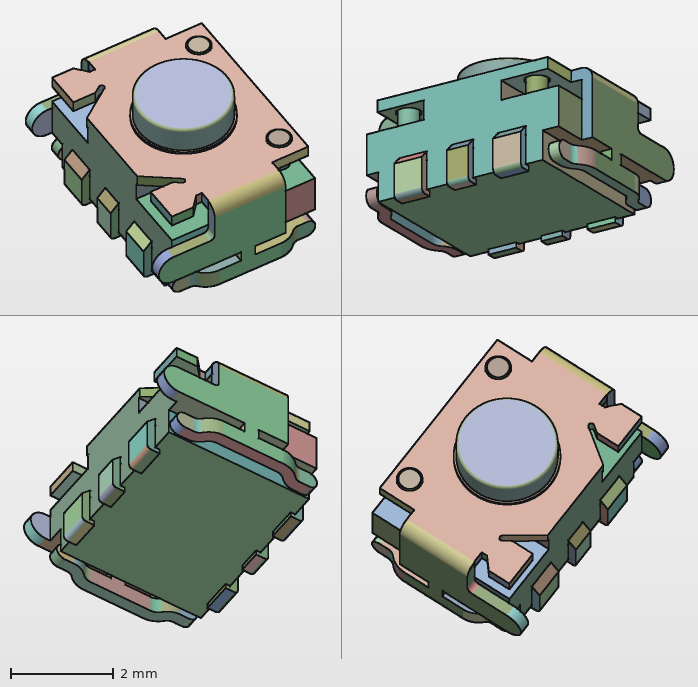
import cadquery as cq
import math

overall_width = 5.0
wall = 0.25
body_width = overall_width - 2 * wall
body_depth = 3.29
plate_top = 2.165
plate_underside = plate_top - wall
shoulder_height = 1.5
wide_bottom = 0.63
base_left = -1.875
base_right = 1.98
core_width = 1.815

wall_half_length = 0.815
arm_top = 1.315
arm_tip_y = -2.1
arm_root_fillet = 0.11

rail_height = 0.395
neck_front = -0.21
neck_back = 0.12
rail_flat_half_length = 0.705
rail_inset = 0.235
jog_outer_radius = 0.53
jog_return_radius = 0.2

front_notch_back_y = -0.805
front_notch_step_y = -0.935
front_notch_end_y = -1.155
slit_centre = (1.51, -0.955)
slit_width = 0.115
slit_angle = 54.2
slit_side_x = 1.45

post_x = 1.505
post_y = 1.275
post_diameter = 0.44
post_hole_diameter = 0.51
post_projection = 0.02

button_diameter = 2.0
button_top = 2.775
button_edge_radius = 0.05
flange_diameter = 2.1
flange_height = 0.05

terminal_tip_y = 1.83
terminal_thickness = terminal_tip_y - body_depth / 2
terminal_bottom = -0.115
terminal_foot_length = 0.29
terminal_corner_radius = 0.095
outer_terminal_width = 0.65
centre_terminal_width = 0.5
outer_terminal_x = 1.16

half_width = overall_width / 2
half_body = body_width / 2
half_depth = body_depth / 2
TERMINALS = [
    (-outer_terminal_x, outer_terminal_width),
    (0, centre_terminal_width),
    (outer_terminal_x, outer_terminal_width),
]


def box(x0, x1, y0, y1, z0, z1):
    return cq.Workplane("XY").box(x1 - x0, y1 - y0, z1 - z0, centered=False).translate((x0, y0, z0))


def with_mirror(shape):
    """The shape together with its copy on the other side of the YZ plane."""
    return shape.union(shape.mirror("YZ"))


def make_core():
    """Narrow base, wide middle and centre block of the housing."""
    base = box(base_left, base_right, -half_depth, half_depth, 0, wide_bottom)
    middle = box(-half_body, half_body, -half_depth, half_depth, wide_bottom, shoulder_height)
    block = box(-core_width / 2, core_width / 2, -half_depth, half_depth, shoulder_height, plate_top)
    return base.union(middle).union(block)


def make_plate():
    """Flat top plate with notched corners, before slits and post holes."""
    plate = box(-half_body, half_body, -half_depth, half_depth, plate_underside, plate_top)
    notch_x = -half_body + wall
    back_notch = box(-half_body, notch_x, wall_half_length, half_depth, plate_underside, plate_top)
    front_notch = (
        cq.Workplane("XY", origin=(0, 0, plate_underside))
        .moveTo(-half_body, front_notch_back_y)
        .lineTo(notch_x, front_notch_back_y)
        .lineTo(notch_x, front_notch_step_y)
        .lineTo(-half_body, front_notch_end_y)
        .close()
        .extrude(wall)
    )
    return plate.cut(with_mirror(back_notch)).cut(with_mirror(front_notch))


def make_slit():
    """Left wedge-shaped slit that frees the front corner of the top plate."""
    radius = slit_width / 2
    angle = math.radians(slit_angle)
    along = (math.cos(angle), -math.sin(angle))
    across = (radius * math.sin(angle), radius * math.cos(angle))
    centre_x, centre_y = -slit_centre[0], slit_centre[1]
    inner = (centre_x + across[0], centre_y + across[1])
    outer = (centre_x - across[0], centre_y - across[1])
    end = (centre_x - radius * along[0], centre_y - radius * along[1])
    inner_run = (inner[1] + half_depth) / math.sin(angle)
    outer_run = (-slit_side_x - outer[0]) / along[0]
    return (
        cq.Workplane("XY", origin=(0, 0, plate_underside))
        .moveTo(inner[0] + inner_run * along[0], -half_depth)
        .lineTo(*inner)
        .threePointArc(end, outer)
        .lineTo(-slit_side_x, outer[1] + outer_run * along[1])
        .lineTo(-slit_side_x, -half_depth)
        .close()
        .extrude(wall)
    )


def make_wall():
    """Left side wall: panel with a round-ended front arm, bend into the plate, and rail neck."""
    arm_radius = (arm_top - wide_bottom) / 2
    arm_centre_y = arm_tip_y + arm_radius
    panel = (
        cq.Workplane("YZ", origin=(-half_width, 0, 0))
        .moveTo(wall_half_length, wide_bottom)
        .lineTo(wall_half_length, plate_underside)
        .lineTo(-wall_half_length, plate_underside)
        .lineTo(-wall_half_length, arm_top + arm_root_fillet)
        .radiusArc((-wall_half_length - arm_root_fillet, arm_top), arm_root_fillet)
        .lineTo(arm_centre_y, arm_top)
        .threePointArc((arm_tip_y, arm_top - arm_radius), (arm_centre_y, wide_bottom))
        .close()
        .extrude(wall)
    )
    bend = (
        cq.Workplane("XZ", origin=(0, wall_half_length, 0))
        .moveTo(-half_width, plate_underside)
        .radiusArc((-half_body, plate_top), wall)
        .lineTo(-half_body, plate_underside)
        .close()
        .extrude(2 * wall_half_length)
    )
    neck = box(-half_width, -half_body, neck_front, neck_back, rail_height, wide_bottom)
    return panel.union(bend).union(neck)


def make_rail():
    """Left bottom rail: flat middle, both ends jogged inward by S-bends and rounded at the tips."""
    angle = math.acos(1 - rail_inset / (jog_outer_radius + jog_return_radius))
    bend_x = -half_width + jog_outer_radius * (1 - math.cos(angle))
    bend_y = rail_flat_half_length + jog_outer_radius * math.sin(angle)
    jog_end_y = bend_y + jog_return_radius * math.sin(angle)
    inner_radius = jog_outer_radius - wall
    inner_bend_x = -half_body + inner_radius * (1 - math.cos(angle))
    inner_bend_y = rail_flat_half_length + inner_radius * math.sin(angle)
    end_x = -half_width + rail_inset
    half = (
        cq.Workplane("XY")
        .moveTo(-half_width, 0)
        .lineTo(-half_width, rail_flat_half_length)
        .radiusArc((bend_x, bend_y), jog_outer_radius)
        .radiusArc((end_x, jog_end_y), -jog_return_radius)
        .lineTo(end_x, half_depth)
        .lineTo(end_x + wall, half_depth)
        .lineTo(end_x + wall, jog_end_y)
        .radiusArc((inner_bend_x, inner_bend_y), jog_return_radius + wall)
        .radiusArc((-half_body, rail_flat_half_length), -inner_radius)
        .lineTo(-half_body, 0)
        .close()
        .extrude(rail_height)
    )
    side_outline = (
        cq.Workplane("YZ", origin=(-half_width, 0, 0))
        .center(0, rail_height / 2)
        .slot2D(body_depth, rail_height)
        .extrude(wall + rail_inset)
    )
    return half.union(half.mirror("XZ")).intersect(side_outline)


def make_posts(diameter, bottom, top):
    return (
        cq.Workplane("XY", origin=(0, 0, bottom))
        .pushPoints([(-post_x, post_y), (post_x, post_y)])
        .circle(diameter / 2)
        .extrude(top - bottom)
    )


def make_terminal(width):
    """Formed strip across the housing, bent down both faces and ending in feet under the base."""
    half = (
        cq.Workplane("YZ", origin=(-width / 2, 0, 0))
        .moveTo(0, wide_bottom)
        .lineTo(half_depth, wide_bottom)
        .lineTo(half_depth, 0)
        .lineTo(terminal_tip_y - terminal_foot_length, 0)
        .lineTo(terminal_tip_y - terminal_foot_length, terminal_bottom)
        .lineTo(terminal_tip_y - terminal_corner_radius, terminal_bottom)
        .radiusArc((terminal_tip_y, terminal_bottom + terminal_corner_radius), -terminal_corner_radius)
        .lineTo(terminal_tip_y, wide_bottom)
        .lineTo(half_depth, wide_bottom + terminal_thickness)
        .lineTo(0, wide_bottom + terminal_thickness)
        .close()
        .extrude(width)
    )
    return half.union(half.mirror("XZ"))


def make_housing():
    """Core with its plate, walls, rails and posts, and a through channel for each terminal."""
    housing = make_core().union(make_plate()).cut(with_mirror(make_slit()))
    housing = housing.union(with_mirror(make_wall())).union(with_mirror(make_rail()))
    housing = housing.cut(make_posts(post_hole_diameter, plate_underside, plate_top))
    housing = housing.union(make_posts(post_diameter, shoulder_height, plate_top + post_projection))
    channel_top = wide_bottom + terminal_thickness
    for x, width in TERMINALS:
        channel = box(x - width / 2, x + width / 2, -half_depth, half_depth, wide_bottom, channel_top)
        housing = housing.cut(channel)
    return housing


def make_button():
    """Round plunger with a thin flange resting on the top plate."""
    flange = cq.Workplane("XY", origin=(0, 0, plate_top)).circle(flange_diameter / 2).extrude(flange_height)
    plunger = (
        cq.Workplane("XY", origin=(0, 0, plate_top))
        .circle(button_diameter / 2)
        .extrude(button_top - plate_top)
        .faces(">Z")
        .edges()
        .fillet(button_edge_radius)
    )
    return flange.union(plunger)


housing = make_housing()
button = make_button()
terminals = [make_terminal(width).translate((x, 0, 0)) for x, width in TERMINALS]

result = cq.Compound.makeCompound(
    [housing.val(), button.val(), *[terminal.val() for terminal in terminals]]
)